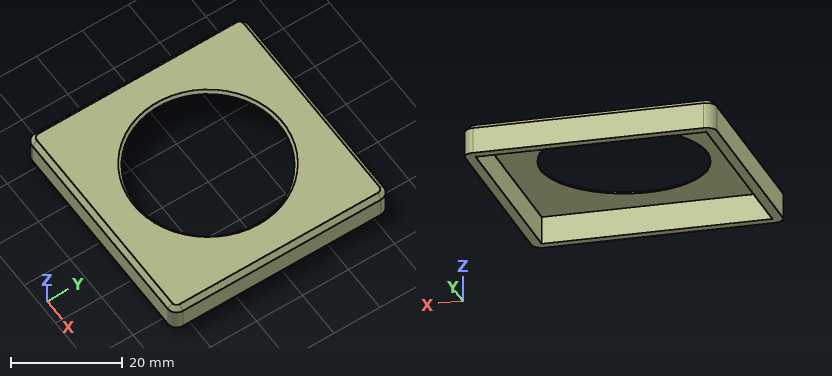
import cadquery as cq

side = 47.0
height = 5.8
corner_radius = 1.97
edge_chamfer = 1.0
wall_thickness = 1.97
skin_thickness = 0.6

window_radius = 15.5
flare_radius = window_radius + skin_thickness

body = (
    cq.Workplane("XY")
    .rect(side, side)
    .extrude(height)
    .edges("|Z")
    .fillet(corner_radius)
    .faces(">Z")
    .chamfer(edge_chamfer)
)

recess_side = side - 2 * wall_thickness
recess_depth = height - skin_thickness
recess = cq.Workplane("XY").rect(recess_side, recess_side).extrude(recess_depth)

window = (
    cq.Workplane("XY", origin=(0, 0, recess_depth))
    .circle(window_radius)
    .workplane(offset=skin_thickness)
    .circle(flare_radius)
    .loft(ruled=True)
)

result = body.cut(recess).cut(window)